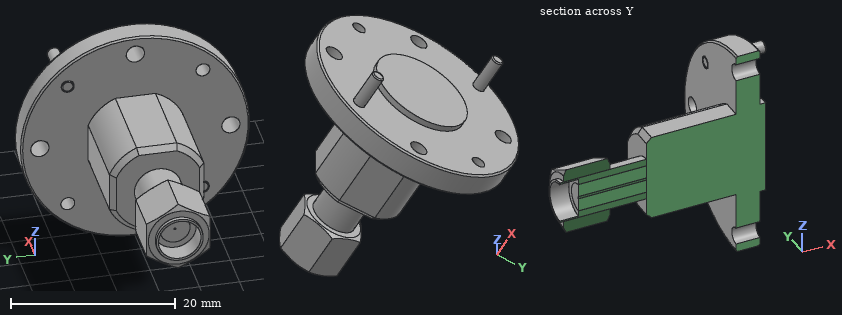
import cadquery as cq
import math


nut_front = 0.5
nut_rear = 6.85
barrel_front = 11.75
flange_front = 23.9
flange_rear = 27.2
boss_rear = 27.95
pin_rear = 31.85

tube_d = 5.85
tube_bore_d = 5.3
tube_bore_depth = 2.55

bead_d = 3.75
contact_d = 0.22

nut_flats = 7.95
nut_face_d = 7.58
nut_bevel = 0.35

barrel_d = 12.8
barrel_flats = 11.78
barrel_bevel = 0.7

flange_d = 28.55
flange_bevel = 0.22
hole_circle_d = 23.82
bolt_hole_d = 2.25
pin_hole_d = 1.72
bolt_angles = [0, 90, 180, 270]
pin_angles = [45, 225]
open_pin_hole_angles = [135, 315]

pin_d = 1.6
pin_bevel = 0.15


def rod(diameter, start, end):
    """Cylinder on the X axis between two stations."""
    return cq.Workplane("YZ", origin=(start, 0, 0)).circle(diameter / 2).extrude(end - start)


def rods_on_circle(diameter, start, end, angles):
    """Cylinders along X, spaced on the flange's hole circle."""
    radius = hole_circle_d / 2
    centres = [
        (radius * math.cos(math.radians(angle)), radius * math.sin(math.radians(angle)))
        for angle in angles
    ]
    return (
        cq.Workplane("YZ", origin=(start, 0, 0))
        .pushPoints(centres)
        .circle(diameter / 2)
        .extrude(end - start)
    )


def flange_disc():
    """Round plate with bolt holes, two open pin holes and two holes filled by the pins."""
    disc = rod(flange_d, flange_front, flange_rear).edges().chamfer(flange_bevel)
    disc = disc.cut(rods_on_circle(bolt_hole_d, flange_front, flange_rear, bolt_angles))
    disc = disc.cut(rods_on_circle(pin_hole_d, flange_front, flange_rear, open_pin_hole_angles))
    return disc.cut(rods_on_circle(pin_d, flange_front, flange_rear, pin_angles))


def barrel():
    """Round bar crossed with a square bar, both bevelled at the front."""
    round_bar = rod(barrel_d, barrel_front, flange_front).faces("<X").chamfer(barrel_bevel)
    square_bar = (
        cq.Workplane("YZ", origin=(barrel_front, 0, 0))
        .rect(barrel_flats, barrel_flats)
        .extrude(flange_front - barrel_front)
        .faces("<X")
        .chamfer(barrel_bevel)
    )
    return round_bar.intersect(square_bar)


def make_housing():
    """Barrel, flange and the round boss behind the flange, in one piece."""
    boss = rod(barrel_d, flange_rear, boss_rear)
    return flange_disc().union(barrel()).union(boss)


def make_tube():
    """Tube butted against the barrel, with a wide front bore and a narrower one for the bead."""
    tube = rod(tube_d, 0, barrel_front)
    tube = tube.cut(rod(tube_bore_d, 0, tube_bore_depth))
    return tube.cut(rod(bead_d, tube_bore_depth, barrel_front))


def make_bead():
    """Insulating cylinder that fills the narrow bore around the contact."""
    return rod(bead_d, tube_bore_depth, barrel_front).cut(make_contact())


def make_contact():
    """Thin wire on the axis, flush with the front of the bead."""
    return rod(contact_d, tube_bore_depth, barrel_front)


def make_nut():
    """Hexagon with one pair of corners on the Z axis, its ends turned to a cone."""
    corner_d = nut_flats / math.cos(math.radians(30))
    nut = (
        cq.Workplane("YZ", origin=(nut_front, 0, 0))
        .transformed(rotate=(0, 0, 90))
        .polygon(6, corner_d)
        .extrude(nut_rear - nut_front)
    )
    bevelled_profile = [
        (nut_front, 0),
        (nut_front, nut_face_d / 2),
        (nut_front + nut_bevel, corner_d / 2),
        (nut_rear - nut_bevel, corner_d / 2),
        (nut_rear, nut_face_d / 2),
        (nut_rear, 0),
    ]
    envelope = cq.Workplane("XY").polyline(bevelled_profile).close().revolve(360, (0, 0, 0), (1, 0, 0))
    return nut.intersect(envelope).cut(rod(tube_d, nut_front, nut_rear))


def make_pins():
    """Pins that start flush with the flange front and stand out behind it."""
    return rods_on_circle(pin_d, flange_front, pin_rear, pin_angles).edges().chamfer(pin_bevel)


housing = make_housing()
tube = make_tube()
bead = make_bead()
contact = make_contact()
nut = make_nut()
pins = make_pins()

result = cq.Compound.makeCompound(
    [housing.val(), tube.val(), nut.val(), bead.val(), contact.val(), *pins.vals()]
)